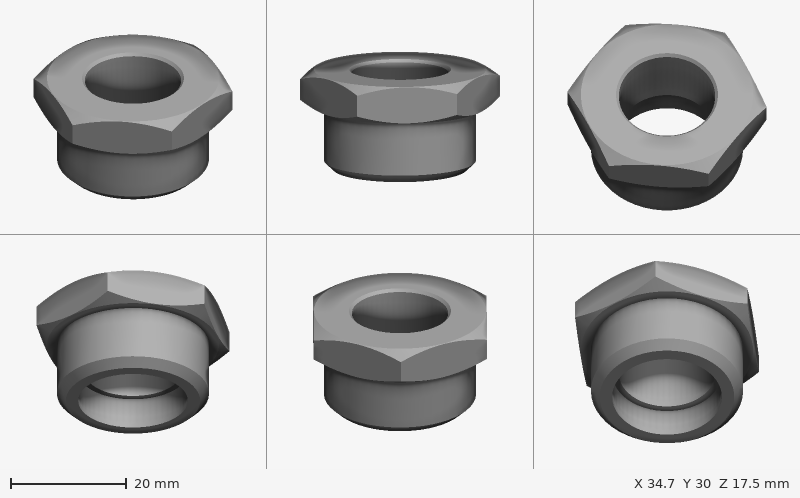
import cadquery as cq
import math

across_corners = 34.65
head_height = 6.48
head_face_diameter = 29.8
head_chamfer_angle = 30.0

total_height = 17.5
shank_diameter = 26.33
end_face_diameter = 23.28
end_chamfer_height = 1.45

bore_diameter = 16.65
bore_chamfer = 0.5
counterbore_diameter = 19.0
counterbore_depth = 5.6

shank_height = total_height - head_height


def make_head():
    """Hexagonal prism with both rims trimmed by cones."""
    prism = (
        cq.Workplane("XY")
        .workplane(offset=shank_height)
        .polygon(6, across_corners)
        .extrude(head_height)
    )
    corner_radius = across_corners / 2
    face_radius = head_face_diameter / 2
    drop = (corner_radius - face_radius) * math.tan(math.radians(head_chamfer_angle))
    envelope = (
        cq.Workplane("XZ")
        .moveTo(0, shank_height)
        .lineTo(face_radius, shank_height)
        .lineTo(corner_radius, shank_height + drop)
        .lineTo(corner_radius, total_height - drop)
        .lineTo(face_radius, total_height)
        .lineTo(0, total_height)
        .close()
        .revolve(360, (0, 0, 0), (0, 1, 0))
    )
    return prism.intersect(envelope)


def make_shank():
    """Cylinder with a conical lead-in at its lower end."""
    return (
        cq.Workplane("XZ")
        .lineTo(end_face_diameter / 2, 0)
        .lineTo(shank_diameter / 2, end_chamfer_height)
        .lineTo(shank_diameter / 2, shank_height)
        .lineTo(0, shank_height)
        .close()
        .revolve(360, (0, 0, 0), (0, 1, 0))
    )


def make_bore():
    """Through bore, chamfered at the head face and counterbored from the shank end."""
    bore_radius = bore_diameter / 2
    counterbore_radius = counterbore_diameter / 2
    mouth_radius = bore_radius + bore_chamfer
    return (
        cq.Workplane("XZ")
        .lineTo(counterbore_radius, 0)
        .lineTo(counterbore_radius, counterbore_depth)
        .lineTo(bore_radius, counterbore_depth)
        .lineTo(bore_radius, total_height - bore_chamfer)
        .lineTo(mouth_radius, total_height)
        .lineTo(0, total_height)
        .close()
        .revolve(360, (0, 0, 0), (0, 1, 0))
    )


result = make_head().union(make_shank()).cut(make_bore())